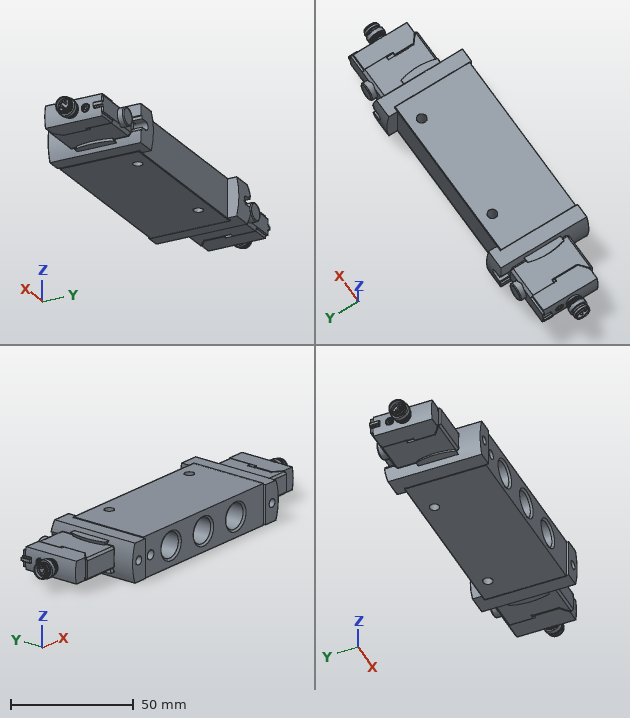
import cadquery as cq
import math


overall_length = 156.9
half_length = overall_length / 2
half_turn = 180

body_half_length = 39.0
body_height = 18.4
body_front_y = -20.5
body_rear_y = 16.3
body_rear_chamfer = 0.3
port_pitch = 21.0
port_indices = (-1, 0, 1)
port_diameter = 11.5
port_mouth_diameter = 13.2
port_depth = 15.7
pilot_hole_x = -34.4
pilot_hole_diameter = 4.2
pilot_hole_depth = 7.8
drill_tip_angle = 118.0
mounting_hole_diameter = 4.2
mounting_hole_xs = (-23.5, 28.5)
mounting_hole_y = 9.9

cap_height = 17.5
cap_width = 43.1
cap_half_width = cap_width / 2
cap_outer_x = -47.4
cap_edge_x = -45.8
foot_inner_x = -36.7
cap_rear_edge_y = 20.5
cap_hole_x = -43.3
cap_hole_diameter = 3.8
slot_mouth_width = 6.5
slot_mouth_depth = 1.0
pad_root_x = -45.5

lug_length = 18.0
lug_top_y = 0.6
lug_bottom_y = -2.5
lug_end_x = -49.0
lug_apex_x = -50.4
lug_outer_offset = 6.5
lug_undercut_angle = 25.0

solenoid_z = 0.5
coil_half_height = 4.9
coil_front_y = -12.0
coil_rear_y = 16.8
coil_corner_x = -64.6
coil_front_chamfer = 1.0
coil_rear_chamfer = 1.3
head_half_height = 5.0
head_edge_x = -70.1
head_outer_x = -70.8
head_front_y = -10.5
head_rear_y = 15.8
joint_x = -62.0
coil_step_y = 5.0
head_step_y = 4.0
tongue_x = -60.7
tongue_front_y = -7.4
gap_width = 0.5
gap_depth = 1.0
window_front_y = 1.7

plug_y = 1.9
plug_core_diameter = 6.5
plug_collars = ((3.1, 1.9, 8.0), (5.5, 0.5, 7.2), (6.5, 0.5, 7.2))
tip_collar_offset = 0.6
tip_collar_length = 1.5
tip_collar_diameter = 7.2
tip_collar_chamfer = 0.3
socket_diameter = 5.8
socket_depth = 3.1
pin_diameter = 1.0
pin_length = 2.4
pin_circle_radius = 1.5
pin_angles = (90, 180, 270)

indicator_y = 8.3
indicator_diameter = 3.8
indicator_core_diameter = 2.8
indicator_eye_diameter = 1.5
indicator_depth = 0.8

knob_x = -54.9
knob_diameter = 8.2
knob_top_y = 19.6
knob_chamfer = 0.5

clip_strap_width = 7.2
clip_hook_width = 2.5
clip_rib_width = 1.3
clip_rib_thickness = 0.8
clip_outer_x = -72.2
clip_end_y = 12.5


def box(x_range, y_range, z_range):
    size = [high - low for low, high in (x_range, y_range, z_range)]
    corner = (x_range[0], y_range[0], z_range[0])
    return cq.Workplane("XY").box(*size, centered=False).translate(corner)


def cylinder_x(diameter, x_start, length, y, z):
    plane = cq.Plane(origin=(x_start, y, z), xDir=(0, 1, 0), normal=(1, 0, 0))
    return cq.Workplane(plane).circle(diameter / 2).extrude(length)


def cylinder_y(diameter, y_start, length, x, z):
    plane = cq.Plane(origin=(x, y_start, z), xDir=(1, 0, 0), normal=(0, 1, 0))
    return cq.Workplane(plane).circle(diameter / 2).extrude(length)


def cone_y(radius, tip_radius, y_start, length, x, z):
    cone = cq.Solid.makeCone(radius, tip_radius, length, cq.Vector(x, y_start, z), cq.Vector(0, 1, 0))
    return cq.Workplane(obj=cone)


def prism_z(outline, z_start, height):
    return outline.extrude(height).translate((0, 0, z_start))


def make_body():
    body = box(
        (-body_half_length, body_half_length),
        (body_front_y, body_rear_y),
        (-body_height / 2, body_height / 2),
    )
    body = body.edges("|X and >Y").chamfer(body_rear_chamfer)

    mouth_depth = (port_mouth_diameter - port_diameter) / 2
    for index in port_indices:
        port_x = index * port_pitch
        body = body.cut(cylinder_y(port_diameter, body_front_y, port_depth, port_x, 0))
        body = body.cut(
            cone_y(port_mouth_diameter / 2, port_diameter / 2, body_front_y, mouth_depth, port_x, 0)
        )

    tip_length = pilot_hole_diameter / 2 / math.tan(math.radians(drill_tip_angle / 2))
    tip_y = body_front_y + pilot_hole_depth
    body = body.cut(cylinder_y(pilot_hole_diameter, body_front_y, pilot_hole_depth, pilot_hole_x, 0))
    body = body.cut(cone_y(pilot_hole_diameter / 2, 0, tip_y, tip_length, pilot_hole_x, 0))

    for hole_x in mounting_hole_xs:
        hole = cq.Workplane("XY").center(hole_x, mounting_hole_y).circle(mounting_hole_diameter / 2)
        body = body.cut(prism_z(hole, -body_height / 2, body_height))
    return body


def chamfer_coil_edges(block):
    """Chamfer the four long edges that the coil and its seating pad share."""
    block = block.edges("|X and <Y").chamfer(coil_front_chamfer)
    return block.edges("|X and >Y").chamfer(coil_rear_chamfer)


def make_lug(center_y, side):
    """Arc-ended lug, widest at its outer face; side is +1 above the solenoid and -1 below it."""
    half = lug_length / 2
    normal = (0, 0, -side)
    start_z = solenoid_z + side * lug_outer_offset
    plane = cq.Plane(origin=(0, center_y, start_z), xDir=(1, 0, 0), normal=normal)
    return (
        cq.Workplane(plane)
        .moveTo(pad_root_x, -half)
        .lineTo(lug_end_x, -half)
        .threePointArc((lug_apex_x, 0), (lug_end_x, half))
        .lineTo(pad_root_x, half)
        .close()
        .extrude(lug_outer_offset - coil_half_height, taper=lug_undercut_angle)
    )


def make_cap():
    half_height = cap_height / 2
    plan = (
        cq.Workplane("XY")
        .moveTo(cap_outer_x, -cap_half_width)
        .lineTo(-body_half_length, -cap_half_width)
        .lineTo(-body_half_length, body_rear_y)
        .lineTo(foot_inner_x, body_rear_y)
        .lineTo(foot_inner_x, cap_half_width)
        .lineTo(cap_outer_x, cap_half_width)
        .close()
    )
    crowned_end = (
        cq.Workplane("XZ", origin=(0, cap_half_width, 0))
        .moveTo(foot_inner_x, -half_height)
        .lineTo(cap_edge_x, -half_height)
        .threePointArc((cap_outer_x, 0), (cap_edge_x, half_height))
        .lineTo(foot_inner_x, half_height)
        .close()
        .extrude(cap_width)
    )
    crowned_rear = (
        cq.Workplane("YZ", origin=(cap_outer_x, 0, 0))
        .moveTo(-cap_half_width, -half_height)
        .lineTo(cap_rear_edge_y, -half_height)
        .threePointArc((cap_half_width, 0), (cap_rear_edge_y, half_height))
        .lineTo(-cap_half_width, half_height)
        .close()
        .extrude(foot_inner_x - cap_outer_x)
    )
    cap = prism_z(plan, -half_height, cap_height).intersect(crowned_end).intersect(crowned_rear)

    cap = cap.cut(
        cylinder_y(cap_hole_diameter, -cap_half_width, cap_width, cap_hole_x, solenoid_z)
    )
    slot_y = (coil_rear_y, cap_half_width)
    for width, slot_end_x in (
        (cap_hole_diameter, cap_hole_x),
        (slot_mouth_width, cap_outer_x + slot_mouth_depth),
    ):
        slot_z = (solenoid_z - width / 2, solenoid_z + width / 2)
        cap = cap.cut(box((cap_outer_x, slot_end_x), slot_y, slot_z))

    pad_z = (solenoid_z - coil_half_height, solenoid_z + coil_half_height)
    pad = box((cap_outer_x, pad_root_x), (coil_front_y, coil_rear_y), pad_z)
    cap = cap.union(chamfer_coil_edges(pad))

    for lug_y, side in ((lug_top_y, 1), (lug_bottom_y, -1)):
        cap = cap.union(make_lug(lug_y, side))
    return cap


def make_coil():
    outline = (
        cq.Workplane("XY")
        .moveTo(cap_outer_x, coil_front_y)
        .lineTo(coil_corner_x, coil_front_y)
        .lineTo(coil_corner_x, head_front_y - gap_width)
        .lineTo(tongue_x + gap_width, tongue_front_y)
        .lineTo(tongue_x + gap_width, coil_step_y)
        .lineTo(joint_x, coil_step_y)
        .lineTo(joint_x, coil_rear_y)
        .lineTo(cap_outer_x, coil_rear_y)
        .close()
    )
    coil = prism_z(outline, -coil_half_height, 2 * coil_half_height)
    return chamfer_coil_edges(coil)


def make_joint_web():
    """Web that closes the middle of the gap between coil and head, leaving a groove above and below."""
    outline = (
        cq.Workplane("XY")
        .moveTo(coil_corner_x, head_front_y)
        .lineTo(coil_corner_x + gap_width, head_front_y)
        .lineTo(tongue_x + gap_width, tongue_front_y)
        .lineTo(tongue_x + gap_width, coil_step_y)
        .lineTo(joint_x, coil_step_y)
        .lineTo(joint_x, tongue_front_y)
        .close()
    )
    half_height = coil_half_height - gap_depth
    return prism_z(outline, -half_height, 2 * half_height)


def make_head():
    outline = (
        cq.Workplane("XY")
        .moveTo(head_outer_x, head_front_y)
        .lineTo(coil_corner_x, head_front_y)
        .lineTo(tongue_x, tongue_front_y)
        .lineTo(tongue_x, head_step_y)
        .lineTo(joint_x, head_step_y)
        .lineTo(joint_x, head_rear_y)
        .lineTo(head_outer_x, head_rear_y)
        .close()
    )
    crowned_end = (
        cq.Workplane("XZ", origin=(0, head_rear_y, 0))
        .moveTo(tongue_x, -head_half_height)
        .lineTo(head_edge_x, -head_half_height)
        .threePointArc((head_outer_x, 0), (head_edge_x, head_half_height))
        .lineTo(tongue_x, head_half_height)
        .close()
        .extrude(head_rear_y - head_front_y)
    )
    head = prism_z(outline, -head_half_height, 2 * head_half_height).intersect(crowned_end)
    window = box(
        (joint_x, tongue_x),
        (window_front_y, head_step_y),
        (-head_half_height, gap_depth - coil_half_height),
    )
    return head.cut(window)


def make_plug():
    plug = cylinder_x(plug_core_diameter, -half_length, half_length + head_edge_x, plug_y, 0)
    tip_collar = cylinder_x(
        tip_collar_diameter, tip_collar_offset - half_length, tip_collar_length, plug_y, 0
    )
    plug = plug.union(tip_collar.edges().chamfer(tip_collar_chamfer))
    for offset, length, diameter in plug_collars:
        plug = plug.union(cylinder_x(diameter, offset - half_length, length, plug_y, 0))

    plug = plug.cut(cylinder_x(socket_diameter, -half_length, socket_depth, plug_y, 0))
    pin_start = -half_length + socket_depth - pin_length
    for angle in pin_angles:
        pin_y = plug_y + pin_circle_radius * math.cos(math.radians(angle))
        pin_z = pin_circle_radius * math.sin(math.radians(angle))
        plug = plug.union(cylinder_x(pin_diameter, pin_start, pin_length, pin_y, pin_z))
    return plug


def make_indicator_recess():
    """Ring-shaped recess around a core that has a small eye drilled in it."""
    recess = cylinder_x(indicator_diameter, head_outer_x, indicator_depth, indicator_y, 0)
    recess = recess.cut(
        cylinder_x(indicator_core_diameter, head_outer_x, indicator_depth, indicator_y, 0)
    )
    return recess.union(cylinder_x(indicator_eye_diameter, head_outer_x, indicator_depth, indicator_y, 0))


def make_knob():
    start_y = coil_rear_y - coil_rear_chamfer
    knob = cylinder_y(knob_diameter, start_y, knob_top_y - start_y, knob_x, 0)
    return knob.faces(">Y").edges().chamfer(knob_chamfer)


def make_clip():
    strap_z = (-clip_strap_width / 2, clip_strap_width / 2)
    hook_z = (-clip_hook_width / 2, clip_hook_width / 2)
    rib_z = (-clip_rib_width / 2, clip_rib_width / 2)
    rib_inner_x = clip_outer_x + clip_rib_thickness
    strap = box((head_outer_x, joint_x), (head_rear_y, coil_rear_y), strap_z)
    hook = box((rib_inner_x, head_edge_x), (clip_end_y, coil_rear_y), hook_z)
    rib = box((clip_outer_x, rib_inner_x), (clip_end_y, coil_rear_y), rib_z)
    return strap.union(hook).union(rib)


def make_solenoid():
    solenoid = make_coil().union(make_joint_web()).union(make_head()).cut(make_indicator_recess())
    solenoid = solenoid.union(make_plug()).union(make_knob()).union(make_clip())
    return solenoid.translate((0, 0, solenoid_z))


body = make_body()
left_solenoid = make_solenoid()
left_cap = make_cap()

caps = []
solenoids = []
for turn in (0, half_turn):
    caps.append(left_cap.rotate((0, 0, 0), (0, 1, 0), turn).val())
    solenoids.append(left_solenoid.rotate((0, 0, 0), (0, 1, 0), turn).val())

result = cq.Compound.makeCompound([body.val(), *caps, *solenoids])